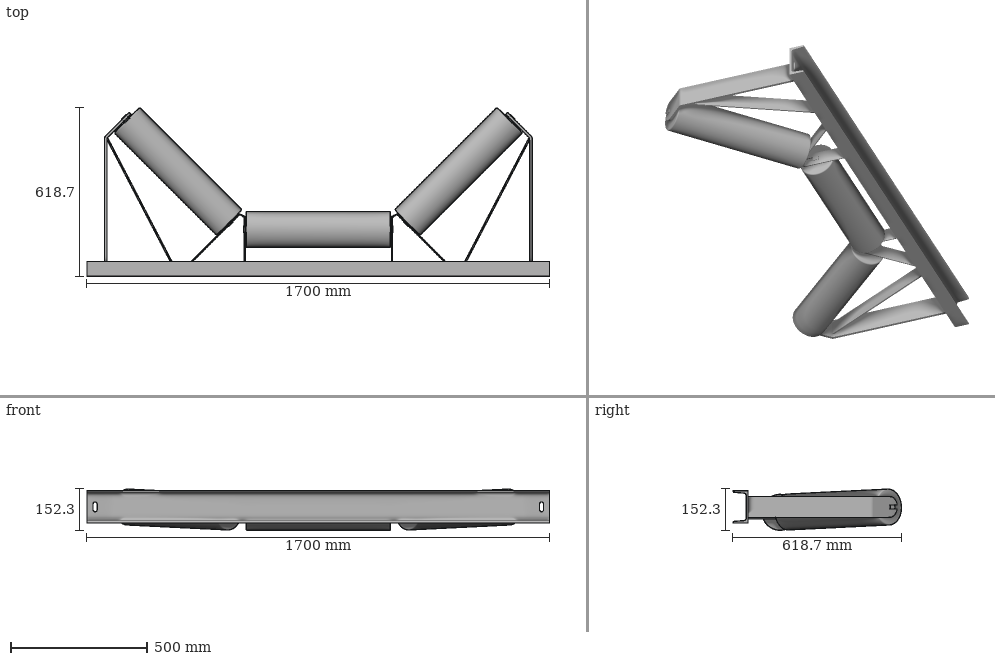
import cadquery as cq
import math


beam_length = 1700.0
beam_height = 120.0
beam_depth = 55.0
web_thickness = 7.0
flange_thickness = 9.0
flange_taper = 0.08
flange_root_radius = 9.0
flange_tip_radius = 4.5
mounting_slot_length = 35.0
mounting_slot_width = 14.0
mounting_slot_inset = 30.0

roller_diameter = 133.0
roller_length = 530.0
roller_edge_radius = 4.0
roller_radius = roller_diameter / 2
trough_angle = 45.0
forward_tilt = 2.0
center_roller_y = 117.5
center_roller_z = -20.0
side_roller_x = 515.0
side_roller_y = 331.0
side_roller_z = -9.78
shaft_diameter = 24.0
shaft_flat_width = 15.0
shaft_overhang = 2.0
shaft_slot_length = 150.0
inner_slot_depth = 40.0

outer_plate_thickness = 10.0
outer_plate_width = 77.0
outer_bracket_z = 0.0
outer_plate_x = 786.0
outer_bend_radius = 14.0
outer_gap = 5.5
brace_thickness = 6.0
brace_width = 50.0
brace_foot_x = 541.0

inner_plate_thickness = 4.5
inner_plate_width = 50.0
inner_gap = 3.0
inner_upright_height = 165.0
inner_slope_reach = 48.0

trough = math.radians(trough_angle)
along = cq.Vector(math.cos(trough), math.sin(trough), 0)
across = cq.Vector(-math.sin(trough), math.cos(trough), 0)
side_roller_middle = cq.Vector(side_roller_x, side_roller_y, side_roller_z)
half_span = roller_length / 2 * math.cos(math.radians(forward_tilt))


def mirrored(shape):
    """Left-hand copy of a right-hand part."""
    return shape.mirror("YZ")


def side_frame():
    """Plane at the middle of the right-hand side roller, with its normal along the roller."""
    tilt = math.radians(forward_tilt)
    axis = along * math.cos(tilt) + cq.Vector(0, 0, math.sin(tilt))
    return cq.Plane(origin=side_roller_middle.toTuple(), xDir=across.toTuple(), normal=axis.toTuple())


def center_frame():
    """Plane at the middle of the center roller, with its normal along X."""
    return cq.Plane(origin=(0, center_roller_y, center_roller_z), xDir=(0, 1, 0), normal=(1, 0, 0))


def make_roller(frame):
    """Roller with rounded rims, bored through for its shaft."""
    end_plane = cq.Workplane(frame).workplane(offset=-roller_length / 2)
    body = end_plane.circle(roller_radius).extrude(roller_length).edges().fillet(roller_edge_radius)
    return body.cut(end_plane.circle(shaft_diameter / 2).extrude(roller_length))


def make_shaft(frame, end_low, end_high):
    """Round shaft with two flats on each end; the ends are measured from the roller middle."""
    length = end_low + end_high
    bar = cq.Workplane(frame).workplane(offset=-end_low).circle(shaft_diameter / 2).extrude(length)
    flats = (
        cq.Workplane(frame).workplane(offset=-end_low)
        .rect(shaft_diameter, shaft_flat_width).extrude(length)
    )
    round_part = (
        cq.Workplane(frame).workplane(offset=-roller_length / 2)
        .circle(shaft_diameter / 2).extrude(roller_length)
    )
    return bar.intersect(flats.union(round_part))


def round_edge(body, corner, radius):
    """Round the upright edge of a plate that stands at the given XY corner."""
    nearest = cq.selectors.NearestToPointSelector((corner.x, corner.y, 0))
    return body.edges("|Z").edges(nearest).fillet(radius)


def round_corners(beam, y, z, radius):
    """Round the two long edges of the beam at the given Y and at plus and minus Z."""
    margin = 1.0
    box = cq.selectors.BoxSelector(
        (-beam_length, y - margin, -z - margin), (beam_length, y + margin, z + margin)
    )
    return beam.edges("|X").edges(box).fillet(radius)


def make_beam():
    """Channel with tapered flanges pointing down in Y, and a slot through the web near each end."""
    half_height = beam_height / 2
    root_rise = flange_taper * (beam_depth / 2 - web_thickness)
    tip_drop = flange_taper * beam_depth / 2
    z_root = half_height - flange_thickness - root_rise
    z_tip = half_height - flange_thickness + tip_drop
    profile = [
        (0, -half_height),
        (0, half_height),
        (-beam_depth, half_height),
        (-beam_depth, z_tip),
        (-web_thickness, z_root),
        (-web_thickness, -z_root),
        (-beam_depth, -z_tip),
        (-beam_depth, -half_height),
    ]
    beam = cq.Workplane("YZ").polyline(profile).close().extrude(beam_length / 2, both=True)
    beam = round_corners(beam, -web_thickness, z_root, flange_root_radius)
    beam = round_corners(beam, -beam_depth, z_tip, flange_tip_radius)
    slot_x = beam_length / 2 - mounting_slot_inset
    slots = (
        cq.Workplane("XZ").pushPoints([(-slot_x, 0), (slot_x, 0)])
        .slot2D(mounting_slot_length, mounting_slot_width, 90).extrude(beam_depth, both=True)
    )
    return beam.cut(slots)


def plate(points, width, z_middle):
    """Plate with the given edge outline in XY, centred on z_middle."""
    outline = [(p.x, p.y) for p in points]
    return (
        cq.Workplane("XY").workplane(offset=z_middle)
        .polyline(outline).close().extrude(width / 2, both=True)
    )


def shaft_slot(frame, start, depth):
    """Open-topped slot cutter for a shaft end, starting at a distance from the roller middle."""
    slot_floor = -shaft_diameter / 2
    return (
        cq.Workplane(frame).workplane(offset=start).center(slot_floor + shaft_slot_length / 2, 0)
        .rect(shaft_slot_length, shaft_flat_width).extrude(depth)
    )


def make_outer_bracket():
    """Upright plate bent over the roller end, slotted for the shaft, with a slanting brace."""
    inner_face = side_roller_middle + along * (half_span + outer_gap)
    outer_face = inner_face + along * outer_plate_thickness
    half_width = outer_plate_width / 2
    end_center = -shaft_diameter / 2
    tip = end_center + half_width
    cutter_length = 2 * outer_plate_width

    def on_plate(face_point, x):
        """Point of a sloping plate face at the given X."""
        return face_point + across * ((face_point.x - x) / math.sin(trough))

    upright_inner_x = outer_plate_x - outer_plate_thickness
    outer_bend = on_plate(outer_face, outer_plate_x)
    inner_bend = on_plate(inner_face, upright_inner_x)
    bent_plate = plate(
        [
            cq.Vector(outer_plate_x, 0, 0),
            outer_bend,
            outer_face + across * tip,
            inner_face + across * tip,
            inner_bend,
            cq.Vector(upright_inner_x, 0, 0),
        ],
        outer_plate_width, outer_bracket_z,
    )
    bent_plate = round_edge(bent_plate, outer_bend, outer_bend_radius)
    bent_plate = round_edge(bent_plate, inner_bend, outer_bend_radius - outer_plate_thickness)
    end_frame = cq.Plane(
        origin=(inner_face.x, inner_face.y, outer_bracket_z), xDir=across.toTuple(), normal=along.toTuple()
    )
    end_block = (
        cq.Workplane(end_frame).center(end_center + half_width, 0)
        .rect(outer_plate_width, cutter_length).extrude(outer_plate_thickness)
    )
    end_disc = cq.Workplane(end_frame).center(end_center, 0).circle(half_width).extrude(outer_plate_thickness)
    bent_plate = bent_plate.cut(end_block.cut(end_disc))

    slot_depth = outer_gap + 2 * outer_plate_thickness
    bent_plate = bent_plate.cut(shaft_slot(side_frame(), roller_length / 2, slot_depth))

    foot = cq.Vector(brace_foot_x, 0, 0)
    head = cq.Vector(inner_bend.x, inner_bend.y, 0)
    slope = (head - foot).normalized()
    half_side = cq.Vector(slope.y, -slope.x, 0) * (brace_thickness / 2)
    foot_half = cq.Vector(brace_thickness / 2 / slope.y, 0, 0)
    brace = plate(
        [foot - foot_half, head - half_side, head + half_side, foot + foot_half],
        brace_width, outer_bracket_z,
    )
    return bent_plate.union(brace)


def make_inner_bracket():
    """Upright plate and 45 degree plate joined at the top, slotted for two neighbouring shafts."""
    upright_x = roller_length / 2 + inner_gap
    upright = plate(
        [
            cq.Vector(upright_x, 0, 0),
            cq.Vector(upright_x, inner_upright_height, 0),
            cq.Vector(upright_x + inner_plate_thickness, inner_upright_height, 0),
            cq.Vector(upright_x + inner_plate_thickness, 0, 0),
        ],
        inner_plate_width, center_roller_z,
    )
    upper_face = side_roller_middle - along * (half_span + inner_gap)
    lower_face = upper_face - along * inner_plate_thickness
    upper_top = upper_face + across * inner_slope_reach
    lower_top = lower_face + across * inner_slope_reach

    def foot_of(face_point):
        """Point where a face of the sloping plate meets the beam web."""
        return face_point - across * (face_point.y / math.cos(trough))

    slope = plate(
        [foot_of(upper_face), upper_top, lower_top, foot_of(lower_face)],
        inner_plate_width, center_roller_z,
    )
    link = plate(
        [
            upper_top,
            cq.Vector(upright_x, inner_upright_height, 0),
            cq.Vector(upright_x + inner_plate_thickness, inner_upright_height - inner_plate_thickness, 0),
            lower_top,
        ],
        inner_plate_width, center_roller_z,
    )
    center_slot = shaft_slot(center_frame(), roller_length / 2, inner_slot_depth)
    side_slot = shaft_slot(side_frame(), -roller_length / 2, -inner_slot_depth)
    return upright.union(slope).union(link).cut(center_slot).cut(side_slot)


inner_end = roller_length / 2 + inner_gap + inner_plate_thickness + shaft_overhang
outer_end = roller_length / 2 + outer_gap + outer_plate_thickness + shaft_overhang

center_roller = make_roller(center_frame())
center_shaft = make_shaft(center_frame(), inner_end, inner_end)
right_roller = make_roller(side_frame())
right_shaft = make_shaft(side_frame(), inner_end, outer_end)

right_brackets = make_outer_bracket().union(make_inner_bracket())
frame = make_beam().union(right_brackets).union(mirrored(right_brackets))

result = cq.Compound.makeCompound([
    frame.val(),
    center_roller.val(),
    center_shaft.val(),
    right_roller.val(),
    right_shaft.val(),
    mirrored(right_roller).val(),
    mirrored(right_shaft).val(),
])